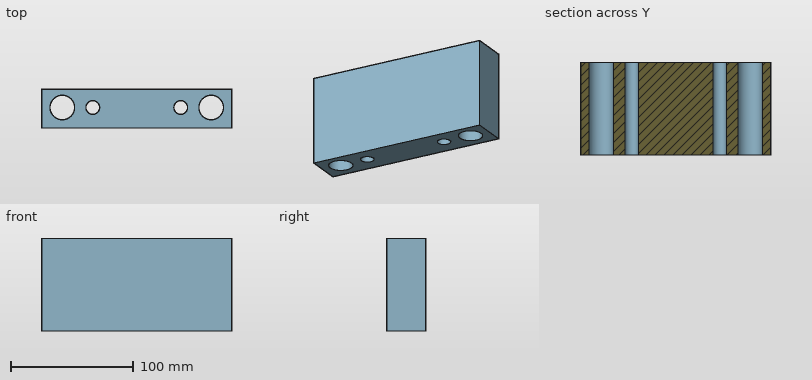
import cadquery as cq

length = 156.0
depth = 32.0
height = 76.0

large_diameter = 20.0
large_spacing = 122.0
small_diameter = 11.0
small_spacing = 72.0
hole_row_offset = 1.0


def drill_pair(body, spacing, diameter):
    """Drill two through holes from the top face, spaced along X."""
    positions = [(side * spacing / 2, hole_row_offset) for side in (-1, 1)]
    return body.faces(">Z").workplane(origin=(0, 0, 0)).pushPoints(positions).hole(diameter)


block = cq.Workplane("XY").box(length, depth, height)
block = drill_pair(block, large_spacing, large_diameter)
result = drill_pair(block, small_spacing, small_diameter)